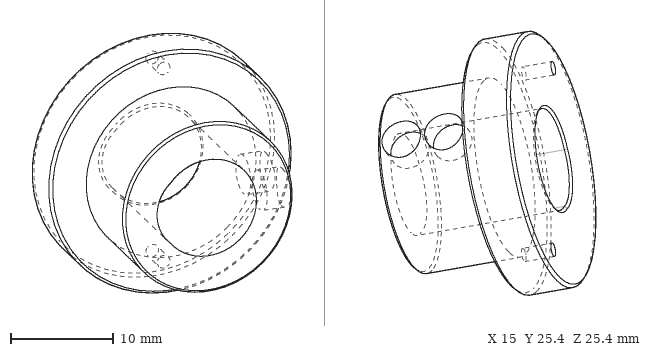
import cadquery as cq

flange_diameter = 25.4
flange_thickness = 5.05
flange_chamfer = 0.3
sleeve_diameter = 17.78
overall_length = 15.0
sleeve_chamfer = 0.25

bore_radius = 5.05
relief_radius = 4.25
relief_offset = 1.12
bore_chamfer = 0.25

pin_hole_diameter = 1.32
pin_hole_depth = 3.05
pin_hole_offset = 10.15

pocket_diameter = 4.0
pocket_depth = 2.55
first_pocket_x = 8.15
pocket_spacing = 4.42
pocket_count = 2


def make_body():
    """Chamfered flange with a sleeve chamfered at its free end."""
    flange = (
        cq.Workplane("YZ")
        .circle(flange_diameter / 2)
        .extrude(flange_thickness)
        .edges()
        .chamfer(flange_chamfer)
    )
    sleeve = (
        cq.Workplane("YZ")
        .circle(sleeve_diameter / 2)
        .extrude(overall_length)
        .faces(">X")
        .edges()
        .chamfer(sleeve_chamfer)
    )
    return flange.union(sleeve)


def make_flared_cylinder(radius, center_y):
    """Cylinder along the part with a flared mouth at the flange face."""
    return (
        cq.Workplane("XY")
        .lineTo(0, radius + bore_chamfer)
        .lineTo(bore_chamfer, radius)
        .lineTo(overall_length, radius)
        .lineTo(overall_length, 0)
        .close()
        .revolve(360, (0, 0, 0), (1, 0, 0))
        .translate((0, center_y, 0))
    )


def make_pin_holes():
    return (
        cq.Workplane("YZ")
        .pushPoints([(0, pin_hole_offset), (0, -pin_hole_offset)])
        .circle(pin_hole_diameter / 2)
        .extrude(pin_hole_depth)
    )


def make_pockets():
    """Two flat-bottomed pockets, cut inwards from the sleeve's outer surface."""
    centers = [(first_pocket_x + i * pocket_spacing, 0) for i in range(pocket_count)]
    pocket_floor_y = sleeve_diameter / 2 - pocket_depth
    return (
        cq.Workplane("XZ", origin=(0, pocket_floor_y, 0))
        .pushPoints(centers)
        .circle(pocket_diameter / 2)
        .extrude(-pocket_depth)
    )


bore = make_flared_cylinder(bore_radius, 0).union(make_flared_cylinder(relief_radius, -relief_offset))

result = make_body().cut(bore).cut(make_pin_holes()).cut(make_pockets())